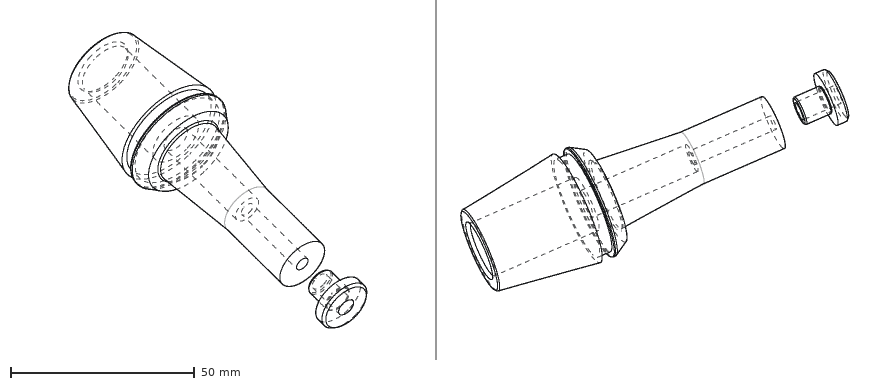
import cadquery as cq

nose_diameter = 24.3
bore_diameter = 15.8
bore_mouth_diameter = 17.1
edge_chamfer = 0.4
bore_mouth_depth = 1.1
bore_depth = 32.5
passage_diameter = 8.0
through_hole_diameter = 4.0
head_diameter = 32.4
head_cone_end = 29.5
groove_diameter = 29.2
groove_end = 33.2
collar_edge_width = 0.3
collar_edge_height = 0.1
collar_rim_end = 34.0
collar_end = 38.2
collar_end_diameter = 27.5
neck_diameter = 20.0
neck_root_chamfer = 0.5
neck_end = 64.3
shank_diameter = 15.5
shank_end = 88.9

total_length = 108.4
stem_start = 96.7
stem_diameter = 8.2
stem_relief_diameter = 7.7
stem_chamfer_length = 0.4
plug_hole_diameter = 5.2
flange_start = 104.8
flange_diameter = shank_diameter
flange_chamfer = 0.8
stem_relief_width = 0.3


def revolve_about_x(profile):
    """Turn (x, radius) points about the X axis and centre the assembly on the origin."""
    return (
        cq.Workplane("XY")
        .polyline(profile)
        .close()
        .revolve(360, (0, 0, 0), (1, 0, 0))
        .translate((-total_length / 2, 0, 0))
    )


def make_holder():
    return revolve_about_x([
        (0, bore_mouth_diameter / 2),
        (0, nose_diameter / 2 - edge_chamfer),
        (edge_chamfer, nose_diameter / 2),
        (head_cone_end, head_diameter / 2),
        (head_cone_end, groove_diameter / 2),
        (groove_end, groove_diameter / 2),
        (groove_end, head_diameter / 2 - collar_edge_height),
        (groove_end + collar_edge_width, head_diameter / 2),
        (collar_rim_end, head_diameter / 2),
        (collar_end, collar_end_diameter / 2),
        (collar_end, neck_diameter / 2 + neck_root_chamfer),
        (collar_end + neck_root_chamfer, neck_diameter / 2),
        (neck_end, shank_diameter / 2),
        (shank_end, shank_diameter / 2),
        (shank_end, through_hole_diameter / 2),
        (neck_end, through_hole_diameter / 2),
        (neck_end, passage_diameter / 2),
        (bore_depth, passage_diameter / 2),
        (bore_depth, bore_diameter / 2),
        (bore_mouth_depth, bore_diameter / 2),
    ])


def make_plug():
    return revolve_about_x([
        (stem_start, plug_hole_diameter / 2),
        (stem_start, stem_relief_diameter / 2),
        (stem_start + stem_chamfer_length, stem_diameter / 2),
        (flange_start - stem_relief_width, stem_diameter / 2),
        (flange_start - stem_relief_width, stem_relief_diameter / 2),
        (flange_start, stem_relief_diameter / 2),
        (flange_start, flange_diameter / 2),
        (total_length - flange_chamfer, flange_diameter / 2),
        (total_length, flange_diameter / 2 - flange_chamfer),
        (total_length, plug_hole_diameter / 2),
    ])


holder = make_holder()
plug = make_plug()
result = cq.Compound.makeCompound([holder.val(), plug.val()])